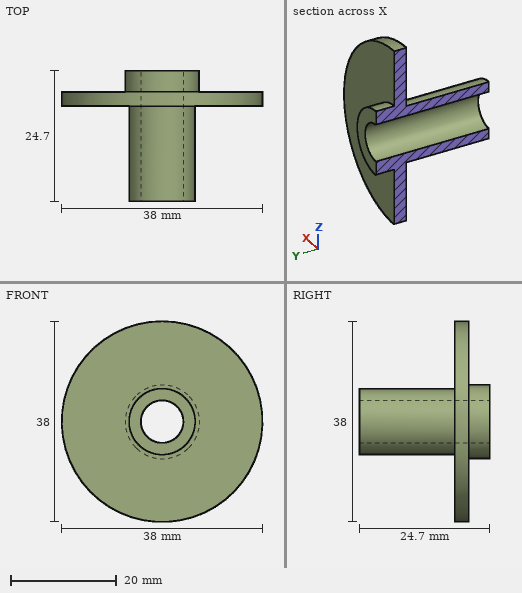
import cadquery as cq

flange_diameter = 38.0
flange_thickness = 2.7
tube_diameter = 12.5
tube_length = 18.0
boss_diameter = 14.0
boss_length = 4.0
bore_diameter = 8.0

tube_end = -tube_length
flange_back = flange_thickness
total_length = tube_length + flange_thickness + boss_length


def cylinder_along_y(diameter, start, length):
    """Solid cylinder on the Y axis, from Y = start towards +Y."""
    direction = cq.Vector(0, 1, 0)
    base_center = cq.Vector(0, start, 0)
    return cq.Workplane(cq.Solid.makeCylinder(diameter / 2, length, base_center, direction))


flange = cylinder_along_y(flange_diameter, 0, flange_thickness)
tube = cylinder_along_y(tube_diameter, tube_end, tube_length)
rear_boss = cylinder_along_y(boss_diameter, flange_back, boss_length)

bore = cylinder_along_y(bore_diameter, tube_end, total_length)

result = flange.union(tube).union(rear_boss).cut(bore)